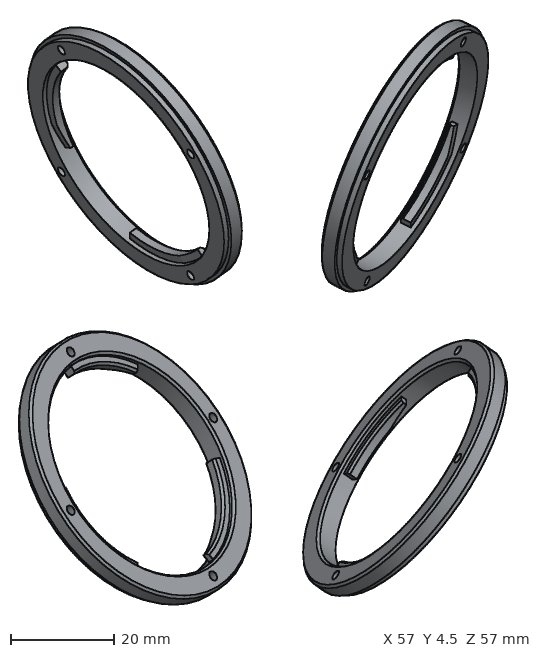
import cadquery as cq
import math

outer_radius = 28.5
step_radius = 27.7
bore_radius = 23.5
ring_depth = 4.5
step_depth = 1.2
rim_chamfer = 0.5
bore_chamfer = 0.5

hole_diameter = 2.0
hole_pitch_radius = 25.75
hole_count = 4
first_hole_angle = 45.0

tab_inner_radius = 21.75
tab_front = 1.0
tab_back = 3.3
tab_chamfer = 0.5
tab_root_overlap = 0.55
ramp_length = 6.0
ramp_drop = 1.0
tab_spans = [(43.0, 90.0), (153.0, 215.0), (270.0, 326.0)]


def disc(radius, start, depth):
    """Cylinder along +Y from Y = start."""
    return cq.Workplane("XZ", origin=(0, start, 0)).circle(radius).extrude(-depth)


def polar(radius, angle):
    """Point in the XZ plane at an angle in degrees."""
    return (radius * math.cos(math.radians(angle)), radius * math.sin(math.radians(angle)))


def make_ring():
    """Stepped ring with a plain bore and a chamfered rear rim."""
    rim = disc(outer_radius, step_depth, ring_depth - step_depth)
    rim = rim.faces(">Y").chamfer(rim_chamfer)
    ring = rim.union(disc(step_radius, 0, step_depth))
    return ring.cut(disc(bore_radius, 0, ring_depth))


def make_ramp_cutter(end_angle):
    """Wedge that slopes the tab front back toward its end face."""
    wedge = (
        cq.Workplane("YZ")
        .moveTo(tab_front, -ramp_length)
        .lineTo(tab_front, 0)
        .lineTo(tab_front + ramp_drop, 0)
        .close()
        .extrude(bore_radius)
    )
    return wedge.rotate((0, 0, 0), (0, -1, 0), end_angle)


def make_tab(start_angle, end_angle):
    """Arc-shaped tab, rooted in the ring, with a flat ramp at its end."""
    root_radius = bore_radius + tab_root_overlap
    middle_angle = (start_angle + end_angle) / 2
    blank = (
        cq.Workplane("XZ", origin=(0, tab_front, 0))
        .moveTo(*polar(tab_inner_radius, start_angle))
        .lineTo(*polar(root_radius, start_angle))
        .threePointArc(polar(root_radius, middle_angle), polar(root_radius, end_angle))
        .lineTo(*polar(tab_inner_radius, end_angle))
        .threePointArc(polar(tab_inner_radius, middle_angle), polar(tab_inner_radius, start_angle))
        .close()
        .extrude(tab_front - tab_back)
    )
    return blank.cut(make_ramp_cutter(end_angle))


def make_chamfer_cutter(radius, size, back):
    """45 degree cone that opens from the given radius, ending at Y = back."""
    return (
        cq.Workplane("XY")
        .moveTo(0, back - size)
        .lineTo(radius, back - size)
        .lineTo(radius + size, back)
        .lineTo(0, back)
        .close()
        .revolve(360, (0, 0, 0), (0, 1, 0))
    )


result = make_ring().cut(make_chamfer_cutter(bore_radius, bore_chamfer, ring_depth))
tab_chamfer_cutter = make_chamfer_cutter(tab_inner_radius, tab_chamfer, tab_back)
for tab_start, tab_end in tab_spans:
    result = result.union(make_tab(tab_start, tab_end).cut(tab_chamfer_cutter))

holes = (
    cq.Workplane("XZ")
    .polarArray(hole_pitch_radius, first_hole_angle, 360, hole_count)
    .circle(hole_diameter / 2)
    .extrude(-ring_depth)
)
result = result.cut(holes)